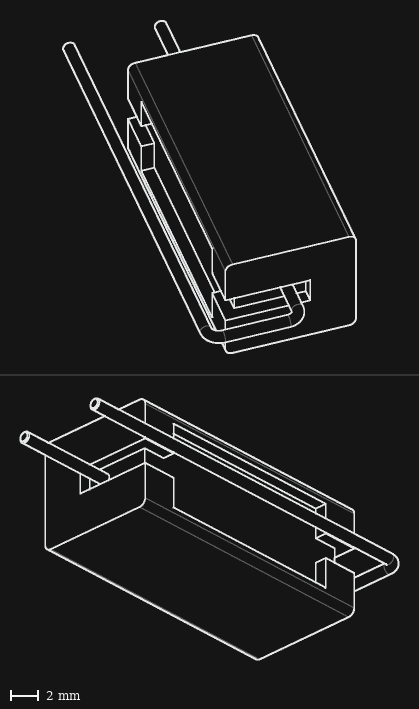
import cadquery as cq

case_length = 22.0
case_depth = 10.0
case_height = 9.0
case_back = 5.0
case_front = case_back - case_depth
edge_radius = 0.55

slot_height = 2.05
slot_depth = 6.5
pocket_length = 16.0
pocket_height = 7.0
filler_recess = 1.0

total_length = 32.45
wire_diameter = 0.9
wire_radius = wire_diameter / 2
wire_spacing = 7.0
bend_radius = 1.0
tip_chamfer = 0.1
lead_length = 7.5
wire_start = -case_length / 2 - lead_length
return_x = wire_start + total_length - wire_radius


def front_block(length, height, front, depth):
    """Box centred on X and Z that reaches back from the given front plane."""
    return cq.Workplane("XY").box(length, depth, height).translate((0, front + depth / 2, 0))


def make_case():
    case = front_block(case_length, case_height, case_front, case_depth)
    return case.edges("|X").fillet(edge_radius)


def make_recess():
    """Cavity left in front of and beside the filler."""
    slot = front_block(case_length, slot_height, case_front, slot_depth)
    pocket = front_block(pocket_length, pocket_height, case_front, filler_recess)
    filler = front_block(
        case_length - 2 * filler_recess,
        slot_height,
        case_front + filler_recess,
        slot_depth - filler_recess,
    )
    return slot.cut(filler).union(pocket)


def make_wire():
    bend_start = return_x - bend_radius
    arc_offset = bend_radius * 0.5 ** 0.5
    path = (
        cq.Workplane("XY")
        .moveTo(wire_start, 0)
        .lineTo(bend_start, 0)
        .threePointArc(
            (bend_start + arc_offset, arc_offset - bend_radius),
            (return_x, -bend_radius),
        )
        .lineTo(return_x, bend_radius - wire_spacing)
        .threePointArc(
            (bend_start + arc_offset, bend_radius - wire_spacing - arc_offset),
            (bend_start, -wire_spacing),
        )
        .lineTo(wire_start, -wire_spacing)
    )
    profile = cq.Workplane("YZ", origin=(wire_start, 0, 0)).circle(wire_radius)
    return profile.sweep(path).faces("<X").edges().chamfer(tip_chamfer)


result = make_case().cut(make_recess()).union(make_wire())